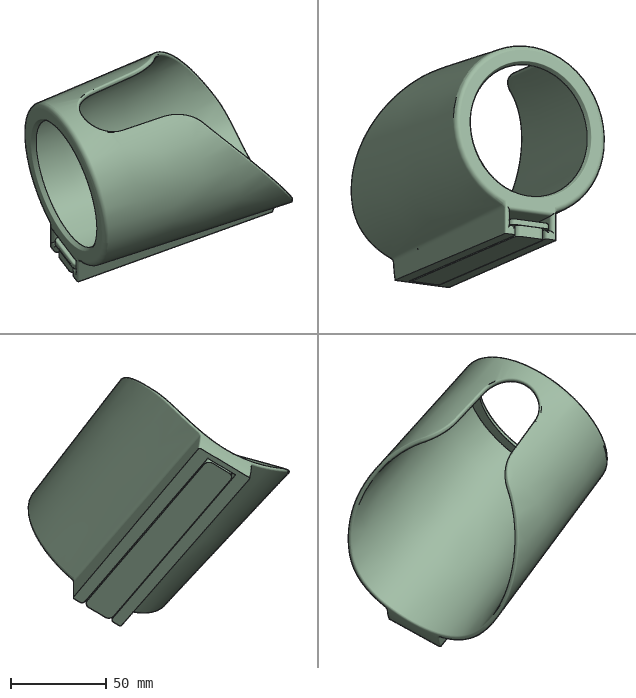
import cadquery as cq
import math

FRONT_Y = -59.0
REAR_Y = 59.0
CONE_TAPER = 0.042
FRONT_RADIUS = 45.4
WALL = 2.5
FRONT_ROUND = 2.7

LIP_THICKNESS = 2.5
LIP_FRONT_RADIUS = 36.7
LIP_BACK_RADIUS = 35.4
LIP_ROUND = 0.4

MOUTH_TOP = (-6.6, 53.1)
MOUTH_MIDDLE = (31.5, 12.7)
MOUTH_JOINT = (53.8, -23.6)
MOUTH_BOTTOM = (56.4, -61.4)

SLOT_END_Y = -47.4
SLOT_ARC_Y = -31.9
SLOT_ARC_HALF_WIDTH = 16.8
SLOT_WIDENING = 0.053
SLOT_EDGE_HEIGHT = 43.7
SLOT_LEAN = 0.4
SLOT_LOW = 23.6
SLOT_HIGH = 56.6
SHOULDER_ROUND = 14.2

RIM_ROUND = 1.0

DRAFT = 0.5
BLOCK_FRONT_HALF_WIDTH = 15.5
BLOCK_FRONT_BOTTOM = -57.9
BLOCK_TOP = -35.4
BLOCK_CORNER_ROUND = 0.88
BLOCK_BLEND = 2.4

CHANNEL_END_Y = 54.3
CHANNEL_CEILING = -45.1
CHANNEL_FLOOR = -52.9
CHANNEL_HALF_WIDTH = 12.3
CHANNEL_NECK_HALF_WIDTH = 9.0
CHANNEL_MOUTH_ROUND = 1.9

INSERT_FRONT_Y = -58.9
INSERT_LENGTH = 112.7
PLATE_HALF_WIDTH = 11.7
PLATE_TOP = -49.2
PLATE_BOTTOM = -52.4
PLATE_CORNER = 2.5
PLATE_TOP_ROUND = 0.88
STEM_SETBACK = 0.2
STEM_HALF_WIDTH = 8.5
STEM_BOTTOM = -58.4
STEM_CORNER = 3.2

TOLERANCE = 0.02
OVERRUN = 11.8
SLOPE = math.tan(math.radians(DRAFT))


def cone_radius(y):
    return FRONT_RADIUS + CONE_TAPER * (y - FRONT_Y)


def select_edges(body, condition):
    return body.newObject([edge for edge in body.edges().vals() if condition(edge)])


def follows_cone(edge, depth):
    """True for an edge that stays at the given depth below the outer cone."""
    points = [edge.positionAt(share) for share in (0.2, 0.5, 0.8)]
    offsets = [cone_radius(p.y) - math.hypot(p.x, p.z) - depth for p in points]
    return max(abs(offset) for offset in offsets) < TOLERANCE


def make_cone():
    end_y = REAR_Y + OVERRUN
    profile = (
        cq.Workplane("XY")
        .moveTo(0, FRONT_Y)
        .lineTo(cone_radius(FRONT_Y), FRONT_Y)
        .lineTo(cone_radius(end_y), end_y)
        .lineTo(0, end_y)
        .close()
    )
    return profile.revolve(360, (0, 0, 0), (0, 1, 0)).faces("<Y").edges().fillet(FRONT_ROUND)


def make_block():
    length = REAR_Y + OVERRUN - FRONT_Y
    widening = length * SLOPE
    front_height = BLOCK_TOP - BLOCK_FRONT_BOTTOM
    front_center = BLOCK_TOP - front_height / 2
    block = (
        cq.Workplane("XZ", origin=(0, FRONT_Y, front_center))
        .rect(2 * BLOCK_FRONT_HALF_WIDTH, front_height)
        .workplane(offset=-length)
        .center(0, -widening / 2)
        .rect(2 * (BLOCK_FRONT_HALF_WIDTH + widening), front_height + widening)
        .loft(ruled=True)
    )

    def is_front_side(edge):
        box = edge.BoundingBox()
        on_front = box.ymax < FRONT_Y + TOLERANCE
        upright = box.xlen < TOLERANCE
        return on_front and upright

    return select_edges(block, is_front_side).fillet(BLOCK_CORNER_ROUND)


def make_bore():
    lip_y = FRONT_Y + LIP_THICKNESS
    end_y = REAR_Y + 2 * OVERRUN
    profile = (
        cq.Workplane("XY")
        .moveTo(0, FRONT_Y)
        .lineTo(LIP_FRONT_RADIUS, FRONT_Y)
        .lineTo(LIP_BACK_RADIUS, lip_y)
        .lineTo(cone_radius(lip_y) - WALL, lip_y)
        .lineTo(cone_radius(end_y) - WALL, end_y)
        .lineTo(0, end_y)
        .close()
    )
    return profile.revolve(360, (0, 0, 0), (0, 1, 0))


def make_mouth_cutter():
    back_y = REAR_Y + 3 * OVERRUN
    return (
        cq.Workplane("YZ")
        .moveTo(*MOUTH_TOP)
        .threePointArc(MOUTH_MIDDLE, MOUTH_JOINT)
        .tangentArcPoint(MOUTH_BOTTOM, relative=False)
        .lineTo(back_y, MOUTH_BOTTOM[1])
        .lineTo(back_y, MOUTH_TOP[1])
        .close()
        .extrude(FRONT_RADIUS + OVERRUN, both=True)
    )


def make_slot_cutter():
    """Slot whose sides lean so that they stand square to the shell, while its end stays upright."""

    def add_outline(sketch, height):
        leaning = SLOT_LEAN * (height - SLOT_EDGE_HEIGHT)
        arc_half_width = SLOT_ARC_HALF_WIDTH + leaning
        open_half_width = arc_half_width + SLOT_WIDENING * (REAR_Y - SLOT_ARC_Y)
        return (
            sketch.moveTo(-arc_half_width, SLOT_ARC_Y)
            .threePointArc((0, SLOT_END_Y), (arc_half_width, SLOT_ARC_Y))
            .lineTo(open_half_width, REAR_Y)
            .lineTo(-open_half_width, REAR_Y)
            .close()
        )

    lower = add_outline(cq.Workplane("XY", origin=(0, 0, SLOT_LOW)), SLOT_LOW)
    both = add_outline(lower.workplane(offset=SLOT_HIGH - SLOT_LOW), SLOT_HIGH)
    return both.loft(ruled=True)


def make_opening_cutter():
    """Mouth and finger slot as one cutter, with round shoulders where they meet."""
    cutter = make_mouth_cutter().union(make_slot_cutter())

    def is_shoulder(edge):
        box = edge.BoundingBox()
        slanted = box.xlen > TOLERANCE and box.zlen > OVERRUN
        return slanted and box.ymin > SLOT_ARC_Y + OVERRUN

    return select_edges(cutter, is_shoulder).fillet(SHOULDER_ROUND)


def make_channel_cutter():
    """T-shaped channel: its ceiling follows the cone and its floor follows the block."""
    length = CHANNEL_END_Y - FRONT_Y
    end_ceiling = CHANNEL_CEILING - CONE_TAPER * length
    end_floor = CHANNEL_FLOOR - SLOPE * length
    below = BLOCK_FRONT_BOTTOM - OVERRUN
    head = (
        cq.Workplane("YZ")
        .moveTo(FRONT_Y, CHANNEL_CEILING)
        .lineTo(CHANNEL_END_Y, end_ceiling)
        .lineTo(CHANNEL_END_Y, end_floor)
        .lineTo(FRONT_Y, CHANNEL_FLOOR)
        .close()
        .extrude(CHANNEL_HALF_WIDTH, both=True)
    )
    neck = (
        cq.Workplane("YZ")
        .moveTo(FRONT_Y, CHANNEL_FLOOR)
        .lineTo(CHANNEL_END_Y, end_floor)
        .lineTo(CHANNEL_END_Y, below)
        .lineTo(FRONT_Y, below)
        .close()
        .extrude(CHANNEL_NECK_HALF_WIDTH, both=True)
    )
    return head.union(neck)


def round_rim(body):
    def is_rim(edge):
        behind_slot_end = edge.BoundingBox().ymin > SLOT_END_Y - TOLERANCE
        on_skin = follows_cone(edge, 0) or follows_cone(edge, WALL)
        return behind_slot_end and on_skin and edge.geomType() != "LINE"

    def is_block_end(edge):
        box = edge.BoundingBox()
        at_one_side = box.xmin * box.xmax > 0
        return at_one_side and box.ymin > CHANNEL_END_Y and edge.Center().z < CHANNEL_CEILING

    return select_edges(body, lambda edge: is_rim(edge) or is_block_end(edge)).fillet(RIM_ROUND)


def blend_block(body):
    """Round the inner corners where the block's sides run into the cone."""

    def is_corner(edge):
        box = edge.BoundingBox()
        at_block_side = min(abs(box.xmin), abs(box.xmax)) > BLOCK_FRONT_HALF_WIDTH - TOLERANCE
        runs_lengthwise = box.ylen > REAR_Y - FRONT_Y
        return at_block_side and runs_lengthwise and edge.Center().z > CHANNEL_FLOOR

    return select_edges(body, is_corner).fillet(BLOCK_BLEND)


def round_channel_mouth(body):
    def is_mouth(edge):
        box = edge.BoundingBox()
        on_front = box.ymax < FRONT_Y + TOLERANCE
        within = max(abs(box.xmin), abs(box.xmax)) < CHANNEL_HALF_WIDTH + TOLERANCE
        crosses_bottom = box.zmax < BLOCK_FRONT_BOTTOM + TOLERANCE
        return on_front and within and box.zmax < CHANNEL_CEILING + TOLERANCE and not crosses_bottom

    return select_edges(body, is_mouth).fillet(CHANNEL_MOUTH_ROUND)


def round_lip(body):
    def is_lip(edge):
        box = edge.BoundingBox()
        return box.ymax < FRONT_Y + TOLERANCE and abs(box.xmax - LIP_FRONT_RADIUS) < TOLERANCE

    return select_edges(body, is_lip).fillet(LIP_ROUND)


def make_holder():
    body = blend_block(make_cone().union(make_block()))
    body = body.cut(make_bore()).cut(make_opening_cutter())
    body = round_rim(body)
    body = body.cut(make_channel_cutter())
    return round_lip(round_channel_mouth(body))


def make_insert():
    """T-shaped bar, tilted to run parallel to the bottom of the block."""
    middle_y = INSERT_LENGTH / 2
    plate = (
        cq.Workplane("XY", origin=(0, middle_y, PLATE_BOTTOM))
        .rect(2 * PLATE_HALF_WIDTH, INSERT_LENGTH)
        .extrude(PLATE_TOP - PLATE_BOTTOM)
        .edges("|Z")
        .fillet(PLATE_CORNER)
        .faces(">Z")
        .edges()
        .fillet(PLATE_TOP_ROUND)
    )
    stem = (
        cq.Workplane("XY", origin=(0, middle_y, STEM_BOTTOM))
        .rect(2 * STEM_HALF_WIDTH, INSERT_LENGTH - 2 * STEM_SETBACK)
        .extrude(PLATE_BOTTOM - STEM_BOTTOM)
        .edges("|Z")
        .fillet(STEM_CORNER)
    )
    level_bar = plate.union(stem)
    tilted = level_bar.rotate((0, 0, PLATE_TOP), (1, 0, PLATE_TOP), -DRAFT)
    return tilted.translate((0, INSERT_FRONT_Y, 0))


holder = make_holder()
rail_insert = make_insert()
result = cq.Compound.makeCompound([holder.solids().val(), rail_insert.solids().val()])